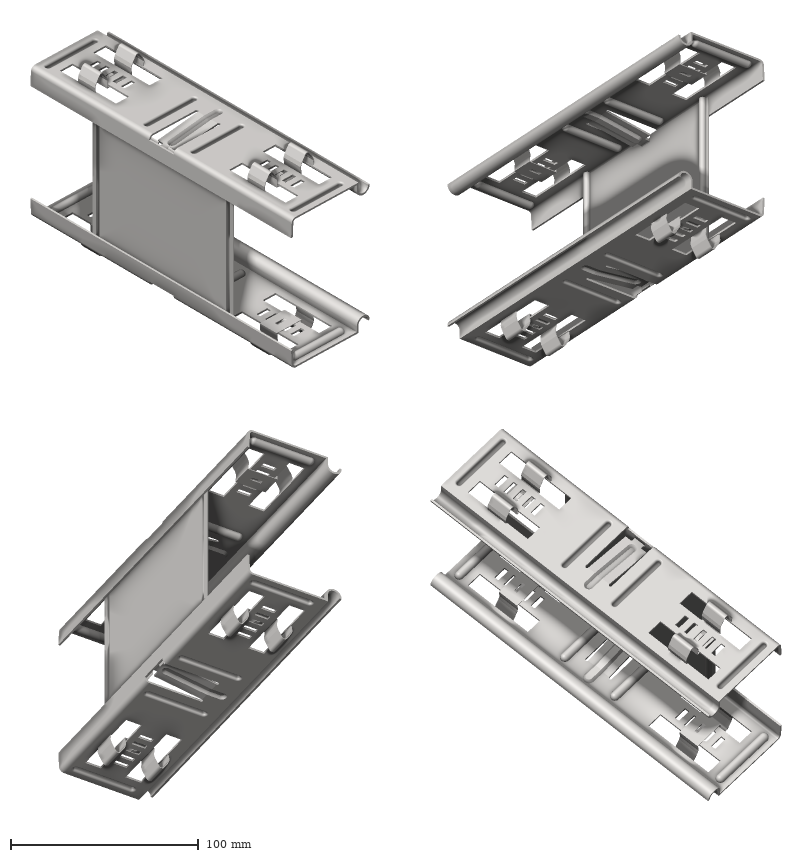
import cadquery as cq
import math

rail_length = 200.0
rail_sheet = 1.2
rail_top_z = 48.5
rail_under_z = rail_top_z - rail_sheet
wall_y = 19.5
hook_radius = 4.8
hook_inner_radius = hook_radius - rail_sheet
hook_center_y = wall_y + hook_radius
hook_center_z = 43.8
bend_radius = 3.0
bend_inner_radius = bend_radius - rail_sheet
bend_center_y = -25.5
bend_center_z = rail_top_z - bend_radius
flange_length = 9.5
flange_lean = 3.0

rib_xs = (-94.0, -18.0, 18.0, 94.0)
rib_back_y = 12.8
rib_front_y = -21.5
rib_groove_radius = 1.5
rib_axis_z = rail_top_z - rib_groove_radius
rib_mouth_fillet = 1.2
rib_margin = 2.0

tab_hinge_y = 5.8
tab_half_width = 7.5
tab_front_y = -24.2
tab_tilt = 8.0
tongue_half_width = 3.5
tongue_front_y = -27.0
slit_width = 1.8
slit_half_span = tab_half_width + slit_width
tab_rib_back_y = 16.2
tab_rib_front_y = -23.5
tab_rib_width = 5.5
tab_rib_depth = 1.5
tab_rib_taper = 40.0
tab_rib_wall = 0.5

clip_xs = (-65.0, 65.0)
clip_y = -3.0
clip_width = 13.0
clip_sheet = 0.5
clip_peak_z = 59.0
foot_end = 22.2
bump_center = 13.5
opening_length = 43.2
opening_width = 9.5
opening_center = 12.5
slot_count = 5
slot_pitch = clip_width / 2
slot_width = 2.8
slot_length = 8.0
key_width = 2.0
key_half_length = 3.5
key_top_half_length = 1.2
bump_foot_half = 4.5
bump_flank = ((4.8, 51.8), (4.0, 54.0), (1.5, 57.8))

panel_half_width = 54.0
panel_sheet = 0.5
panel_depth = 3.2
panel_front_y = bend_center_y - bend_inner_radius
panel_back_y = panel_front_y + panel_depth
groove_x = 50.0
groove_radius = 1.5
tongue_notch_half_width = 3.8
tongue_notch_depth = 5.0


def polar(center_u, center_v, radius, degrees):
    """Point on a circle in a sketch plane."""
    angle = math.radians(degrees)
    return (center_u + radius * math.cos(angle), center_v + radius * math.sin(angle))


def block(x0, x1, y0, y1, z0, z1):
    """Box between two opposite corners."""
    return cq.Workplane("XY").box(x1 - x0, y1 - y0, z1 - z0, centered=False).translate((x0, y0, z0))


def channel():
    """Rail section with hook, plate and leaning flange, extruded along X."""
    lean_angle = 180 - flange_lean
    mid_angle = (90 + lean_angle) / 2
    drop_y = -flange_length * math.sin(math.radians(flange_lean))
    drop_z = -flange_length * math.cos(math.radians(flange_lean))
    outer_y, outer_z = polar(bend_center_y, bend_center_z, bend_radius, lean_angle)
    inner_y, inner_z = polar(bend_center_y, bend_center_z, bend_inner_radius, lean_angle)
    return (
        cq.Workplane("YZ")
        .moveTo(wall_y + rail_sheet, rail_top_z)
        .lineTo(bend_center_y, rail_top_z)
        .threePointArc(polar(bend_center_y, bend_center_z, bend_radius, mid_angle), (outer_y, outer_z))
        .lineTo(outer_y + drop_y, outer_z + drop_z)
        .lineTo(inner_y + drop_y, inner_z + drop_z)
        .lineTo(inner_y, inner_z)
        .threePointArc(
            polar(bend_center_y, bend_center_z, bend_inner_radius, mid_angle), (bend_center_y, rail_under_z)
        )
        .lineTo(wall_y, rail_under_z)
        .lineTo(wall_y, hook_center_z)
        .threePointArc(
            (hook_center_y, hook_center_z - hook_radius), (hook_center_y + hook_radius, hook_center_z)
        )
        .lineTo(hook_center_y + hook_inner_radius, hook_center_z)
        .threePointArc(
            (hook_center_y, hook_center_z - hook_inner_radius), (wall_y + rail_sheet, hook_center_z)
        )
        .close()
        .extrude(rail_length / 2, both=True)
    )


def capsule(x, radius):
    """Lying cylinder with ball ends along a rib axis."""
    length = rib_back_y - rib_front_y
    middle_y = (rib_back_y + rib_front_y) / 2
    body = cq.Workplane("XZ").circle(radius).extrude(length / 2, both=True)
    for end in (-length / 2, length / 2):
        body = body.union(cq.Workplane("XY").sphere(radius).translate((0, end, 0)))
    return body.translate((x, middle_y, rib_axis_z))


def add_ribs(rail):
    """Press the round-bottomed ribs into the plate and round their mouths."""
    top_z = rail_top_z
    reach = rib_groove_radius + rail_sheet + rib_margin
    middle_y = (rib_back_y + rib_front_y) / 2
    straight = rib_back_y - rib_front_y
    for x in rib_xs:
        bead = capsule(x, rib_groove_radius + rail_sheet)
        bead = bead.cut(block(x - reach, x + reach, -rail_length, rail_length, top_z, top_z + reach))
        shaft = (
            cq.Workplane("XY", origin=(x, middle_y, rib_axis_z))
            .slot2D(straight + 2 * rib_groove_radius, 2 * rib_groove_radius, 90)
            .extrude(top_z - rib_axis_z)
        )
        rail = rail.union(bead).cut(capsule(x, rib_groove_radius).union(shaft))
        mouth = cq.selectors.BoxSelector(
            (x - rib_margin, rib_front_y - rib_margin, top_z - rib_margin / 2),
            (x + rib_margin, rib_back_y + rib_margin, top_z + rib_margin / 2),
        )
        rail = rail.edges(mouth).fillet(rib_mouth_fillet)
    return rail


def tab_rib(growth, drop):
    """Tapered, flat-bottomed rib form, widened by growth and lowered by drop."""
    length = tab_rib_back_y - tab_rib_front_y
    middle_y = (tab_rib_back_y + tab_rib_front_y) / 2
    return (
        cq.Workplane("XY", origin=(0, middle_y, rail_top_z - drop))
        .slot2D(length + 2 * growth, tab_rib_width + 2 * growth, 90)
        .extrude(-tab_rib_depth, taper=tab_rib_taper)
    )


def add_tab(rail):
    """Cut the tab free, give it its rib and bend it down about the hinge."""
    rail = rail.union(tab_rib(tab_rib_wall, rail_sheet)).cut(tab_rib(0, 0))
    middle_z = 0
    footprint = block(-tab_half_width, tab_half_width, tab_front_y, tab_hinge_y, middle_z, rail_top_z)
    tongue = block(
        -tongue_half_width, tongue_half_width, tongue_front_y, tab_front_y, rail_under_z, rail_top_z
    )
    tab = rail.intersect(footprint).union(tongue)
    tab = tab.rotate((0, tab_hinge_y, rail_top_z), (1, tab_hinge_y, rail_top_z), tab_tilt)

    bend_front_y = bend_center_y - 2 * bend_radius
    window = block(-slit_half_span, slit_half_span, bend_front_y, tab_hinge_y, bend_center_z, rail_top_z)
    rib_space = block(-tab_half_width, tab_half_width, bend_center_y, tab_hinge_y, middle_z, rail_top_z)
    slit_center_x = tab_half_width + slit_width / 2
    slit_ends = (
        cq.Workplane("XY", origin=(0, tab_hinge_y, rail_under_z))
        .pushPoints([(-slit_center_x, 0), (slit_center_x, 0)])
        .circle(slit_width / 2)
        .extrude(rail_sheet)
    )
    return rail.cut(window).cut(rib_space).cut(slit_ends).union(tab)


def cut_clip_openings(rail):
    """Two wide openings, a row of small slots and two foot recesses for each clip."""
    for x in clip_xs:
        plane = cq.Workplane("XY", origin=(x, clip_y, rail_under_z))
        openings = plane.pushPoints([(0, -opening_center), (0, opening_center)])
        rail = rail.cut(openings.rect(opening_length, opening_width).extrude(rail_sheet))
        slots = plane.rarray(slot_pitch, 2, slot_count, 1).rect(slot_width, slot_length)
        rail = rail.cut(slots.extrude(rail_sheet))
        for y0, y1 in ((-foot_end, -opening_center), (opening_center, foot_end)):
            recess = block(
                x - clip_width / 2, x + clip_width / 2, clip_y + y0, clip_y + y1,
                rail_top_z - clip_sheet, rail_top_z,
            )
            rail = rail.cut(recess)
    return rail


def make_rail():
    return cut_clip_openings(add_tab(add_ribs(channel())))


def strip(path, width):
    """Sheet strip of the clip gauge whose middle line follows a path in the YZ plane."""
    start = path.val().startPoint()
    profile = cq.Workplane("XZ", origin=start.toTuple()).rect(width, clip_sheet)
    return profile.sweep(path, transition="right")


def make_clip(x):
    """Spring clip: two feet, two arched bumps, a base under the plate and a key in the middle slot."""
    foot_z = rail_top_z - clip_sheet / 2
    base_z = rail_under_z - clip_sheet / 2
    peak_z = clip_peak_z - clip_sheet / 2
    crown_half, crown_z = bump_flank[-1]
    path = cq.Workplane("YZ").moveTo(-foot_end, foot_z)
    left_z, right_z = foot_z, base_z
    for center in (-bump_center, bump_center):
        path = path.lineTo(center - bump_foot_half, left_z)
        for half, z in bump_flank:
            path = path.lineTo(center - half, z)
        path = path.threePointArc((center, peak_z), (center + crown_half, crown_z))
        for half, z in bump_flank[-2::-1]:
            path = path.lineTo(center + half, z)
        path = path.lineTo(center + bump_foot_half, right_z)
        left_z, right_z = right_z, left_z
    path = path.lineTo(foot_end, foot_z)
    clip = strip(path.wire(), clip_width)

    key_path = (
        cq.Workplane("YZ")
        .moveTo(-key_half_length - key_width / 2, base_z)
        .lineTo(-key_half_length, base_z)
        .lineTo(-key_top_half_length, foot_z)
        .lineTo(key_top_half_length, foot_z)
        .lineTo(key_half_length, base_z)
        .lineTo(key_half_length + key_width / 2, base_z)
        .wire()
    )
    key_window = block(
        -key_width / 2, key_width / 2, -key_half_length, key_half_length, base_z - clip_sheet, rail_top_z
    )
    clip = clip.cut(key_window).union(strip(key_path, key_width))
    return clip.translate((x, clip_y, 0))


def make_panel():
    """Grooved sheet, front corners rounded to nest in the rail bends, notched for the tab tongues."""
    sheet_y = panel_front_y + panel_sheet / 2
    groove_y = panel_back_y - panel_sheet / 2
    bend_radius_mid = groove_radius + panel_sheet / 2
    bend_y = groove_y - bend_radius_mid
    path = cq.Workplane("XY").moveTo(-panel_half_width, sheet_y)
    for x in (-groove_x, groove_x):
        path = (
            path.lineTo(x - bend_radius_mid, sheet_y)
            .lineTo(x - bend_radius_mid, bend_y)
            .threePointArc((x, groove_y), (x + bend_radius_mid, bend_y))
            .lineTo(x + bend_radius_mid, sheet_y)
        )
    path = path.lineTo(panel_half_width, sheet_y).wire()
    profile = cq.Workplane("YZ", origin=(-panel_half_width, sheet_y, 0)).rect(panel_sheet, 2 * rail_under_z)
    envelope = (
        block(
            -panel_half_width, panel_half_width, panel_front_y, panel_back_y, -rail_under_z, rail_under_z
        )
        .edges("|X and <Y")
        .fillet(bend_inner_radius)
    )
    panel = profile.sweep(path, transition="right").intersect(envelope)
    notch_floor_z = rail_under_z - tongue_notch_depth
    notch = block(
        -tongue_notch_half_width, tongue_notch_half_width,
        panel_front_y, panel_back_y, notch_floor_z, rail_under_z,
    )
    return panel.cut(notch).cut(notch.mirror("XY"))


upper_rail = make_rail()
upper_clips = [make_clip(x) for x in clip_xs]
panel = make_panel()

bodies = [panel.solids().val()]
for part in [upper_rail, *upper_clips]:
    bodies.append(part.solids().val())
    bodies.append(part.mirror("XY").solids().val())

result = cq.Compound.makeCompound(bodies)